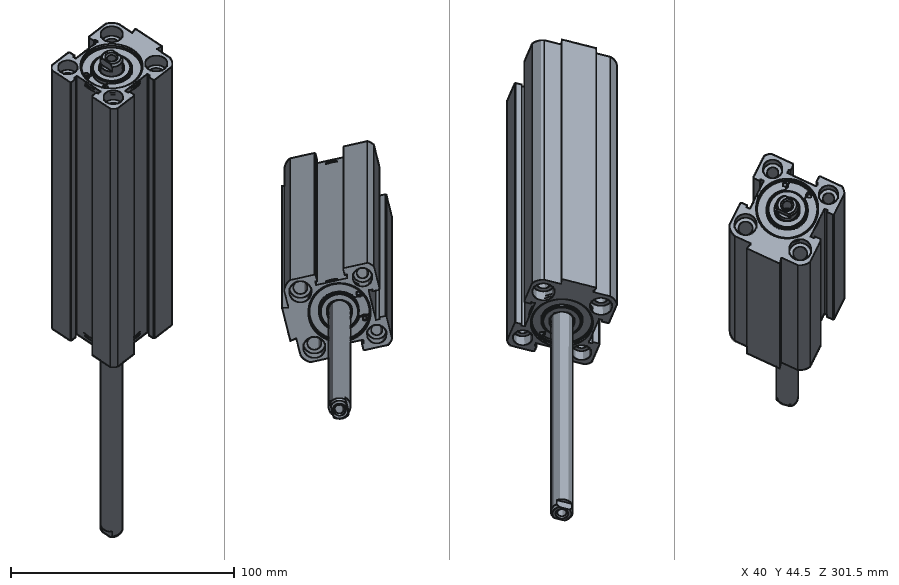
import cadquery as cq
import math

total_length = 301.5
housing_length = 164.5
upper_rod_length = 5.7
rod_top = housing_length + upper_rod_length
rod_bottom = rod_top - total_length

housing_width = 40.0
housing_depth = 44.5
half_width = housing_width / 2
back_y = 21.7
rail_top_y = housing_depth - half_width
rail_top_half = 8.0
rail_base_half = 7.5
corner_radius = 7.2

slot_floor = 15.0
slot_lip_depth = 3.3
slot_mouth_half = 6.3
slot_mouth_chamfer = 0.45
slot_inner_half = 7.2

front_hole_offset = 14.0
front_hole_diameter = 5.0
front_counterbore_diameter = 8.7
back_hole_x = 13.5
back_hole_y = 14.8
back_hole_diameter = 6.3
back_counterbore_diameter = 10.0
counterbore_depth = 6.0

bore_diameter = 26.8
bore_chamfer = 0.5
ring_depth = 1.8
ring_thickness = 1.5
ring_outer_diameter = 29.8
ring_inner_diameter = 18.7
ring_gap_half = 4.8
ear_hole_diameter = 2.0
ear_radius = 1.5
ear_x = 6.0
ear_y = -10.3
boss_diameter = 17.5
boss_recess = 1.0
boss_chamfer = 0.45
seal_recess_diameter = 11.5
seal_recess_depth = 1.5

rod_diameter = 10.0
rod_chamfer_width = 0.75
rod_chamfer_length = 1.35
flat_width = 7.0
flat_length = 4.2
thread_diameter = 4.2
thread_mouth_diameter = 5.7
thread_depth = 12.0
drill_point_length = 1.2

cartridge_face = ring_depth + ring_thickness
groove_heights = (ring_depth, housing_length - cartridge_face)
front_holes = [(side * front_hole_offset, -front_hole_offset) for side in (-1, 1)]
back_holes = [(side * back_hole_x, back_hole_y) for side in (-1, 1)]


def cylinder(diameter, z_start, z_end):
    """Solid cylinder on the rod axis between two heights."""
    return cq.Workplane("XY").workplane(offset=z_start).circle(diameter / 2).extrude(z_end - z_start)


def mirrored_end(feature):
    """The same feature at the opposite end of the housing."""
    return feature.mirror("XY", (0, 0, housing_length / 2))


def sensor_slot(angle):
    """T-shaped groove along the whole housing; angle 0 puts it in the -Y side."""
    lip_y = half_width - slot_lip_depth
    half_profile = [
        (slot_mouth_half + slot_mouth_chamfer, -half_width),
        (slot_mouth_half, slot_mouth_chamfer - half_width),
        (slot_mouth_half, -lip_y),
        (slot_inner_half, -lip_y),
        (slot_inner_half, -slot_floor),
    ]
    other_half = [(-x, y) for x, y in reversed(half_profile)]
    slot = cq.Workplane("XY").polyline(half_profile + other_half).close().extrude(housing_length)
    return slot.rotate((0, 0, 0), (0, 0, 1), angle)


def corner_post(x, y):
    """Round column about a mounting hole axis that forms a housing corner."""
    return cq.Workplane("XY").center(x, y).circle(corner_radius).extrude(housing_length)


def rounded_block():
    """Block with its four corners rounded about the mounting hole axes."""
    block = (
        cq.Workplane("XY").center(0, (back_y - half_width) / 2)
        .rect(2 * half_width, back_y + half_width).extrude(housing_length)
    )
    for x, y in front_holes + back_holes:
        corner = (
            cq.Workplane("XY").center(x + math.copysign(half_width, x) / 2, y + math.copysign(back_y, y) / 2)
            .rect(half_width, back_y).extrude(housing_length)
        )
        block = block.cut(corner.cut(corner_post(x, y)))
    return block


def mounting_holes(points, diameter, counterbore_diameter):
    """Through holes with a counterbore at both ends of the housing."""
    holes = cq.Workplane("XY").pushPoints(points).circle(diameter / 2).extrude(housing_length)
    counterbores = (
        cq.Workplane("XY").pushPoints(points)
        .circle(counterbore_diameter / 2).extrude(counterbore_depth)
    )
    return holes.union(counterbores).union(mirrored_end(counterbores))


def make_housing():
    body = rounded_block()
    rail = (
        cq.Workplane("XY")
        .moveTo(-rail_base_half, 0).lineTo(-rail_base_half, back_y)
        .lineTo(-rail_top_half, rail_top_y).lineTo(rail_top_half, rail_top_y)
        .lineTo(rail_base_half, back_y).lineTo(rail_base_half, 0)
        .close().extrude(housing_length)
    )
    body = body.union(rail)
    for angle in (-90, 0, 90):
        body = body.cut(sensor_slot(angle))

    body = body.cut(mounting_holes(front_holes, front_hole_diameter, front_counterbore_diameter))
    body = body.cut(mounting_holes(back_holes, back_hole_diameter, back_counterbore_diameter))

    bore = cylinder(bore_diameter, 0, housing_length)
    mouth = cq.Workplane(cq.Solid.makeCone(bore_diameter / 2 + bore_chamfer, bore_diameter / 2, bore_chamfer))
    grooves = [cylinder(ring_outer_diameter, z, z + ring_thickness) for z in groove_heights]
    for cutter in (bore, mouth, mirrored_end(mouth), *grooves):
        body = body.cut(cutter)
    return body


def make_cartridge():
    """Filling of the bore that guides the rod and is held by a ring at each end."""
    barrel = cylinder(bore_diameter, cartridge_face, housing_length - cartridge_face)
    boss = cylinder(boss_diameter, boss_recess, housing_length - boss_recess)
    boss = boss.faces("<Z or >Z").chamfer(boss_chamfer)
    seal_recess = cylinder(seal_recess_diameter, 0, boss_recess + seal_recess_depth)
    rod_hole = cylinder(rod_diameter, 0, housing_length)
    return barrel.union(boss).cut(rod_hole).cut(seal_recess).cut(mirrored_end(seal_recess))


def make_ring(z_start):
    """Retaining ring whose lower face is at z_start, open toward -Y between two drilled ears."""
    z_end = z_start + ring_thickness
    ears = [(-ear_x, ear_y), (ear_x, ear_y)]
    plane = cq.Workplane("XY").workplane(offset=z_start)
    ring = cylinder(ring_outer_diameter, z_start, z_end).cut(cylinder(ring_inner_diameter, z_start, z_end))
    gap = (
        plane.center(0, -ring_outer_diameter / 2)
        .rect(2 * ring_gap_half, ring_outer_diameter).extrude(ring_thickness)
    )
    ear_pads = plane.pushPoints(ears).circle(ear_radius).extrude(ring_thickness)
    ear_holes = plane.pushPoints(ears).circle(ear_hole_diameter / 2).extrude(ring_thickness)
    return ring.cut(gap).union(ear_pads).cut(cylinder(boss_diameter, z_start, z_end)).cut(ear_holes)


def make_rod():
    end_radius = rod_diameter / 2 - rod_chamfer_width
    rod = (
        cq.Workplane("XZ")
        .moveTo(0, rod_bottom).lineTo(end_radius, rod_bottom)
        .lineTo(rod_diameter / 2, rod_bottom + rod_chamfer_length)
        .lineTo(rod_diameter / 2, rod_top - rod_chamfer_length)
        .lineTo(end_radius, rod_top).lineTo(0, rod_top)
        .close().revolve(360, (0, 0, 0), (0, 1, 0))
    )
    for end_z, inward in ((rod_bottom, 1), (rod_top, -1)):
        flats_z = end_z + inward * flat_length / 2
        collar = cq.Workplane("XY").box(2 * rod_diameter, 2 * rod_diameter, flat_length)
        tongue = cq.Workplane("XY").box(2 * rod_diameter, flat_width, flat_length)
        rod = rod.cut(collar.cut(tongue).translate((0, 0, flats_z)))
        thread = cq.Workplane("XY", (0, 0, end_z)).circle(thread_diameter / 2).extrude(inward * thread_depth)
        countersink = cq.Solid.makeCone(
            thread_mouth_diameter / 2, thread_diameter / 2,
            (thread_mouth_diameter - thread_diameter) / 2,
            cq.Vector(0, 0, end_z), cq.Vector(0, 0, inward),
        )
        drill_point = cq.Solid.makeCone(
            thread_diameter / 2, 0, drill_point_length,
            cq.Vector(0, 0, end_z + inward * thread_depth), cq.Vector(0, 0, inward),
        )
        for cutter in (thread, cq.Workplane(countersink), cq.Workplane(drill_point)):
            rod = rod.cut(cutter)
    return rod


housing = make_housing()
cartridge = make_cartridge()
rings = [make_ring(z_start) for z_start in groove_heights]
rod = make_rod()
result = cq.Compound.makeCompound(
    [housing.val(), cartridge.val(), *[ring.val() for ring in rings], rod.val()]
)